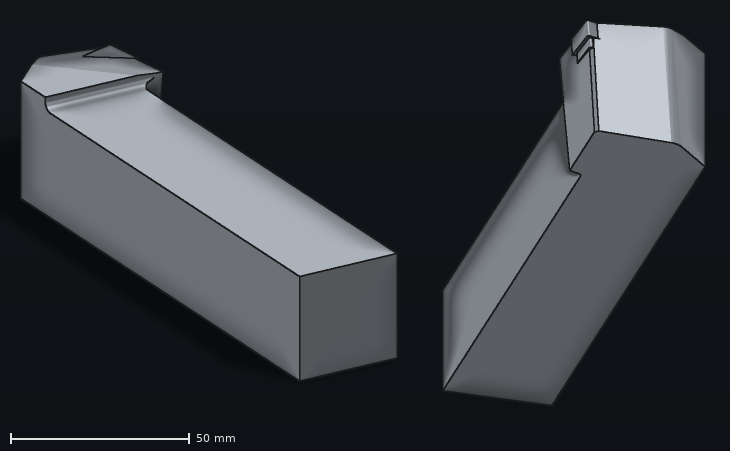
import cadquery as cq
import math

TOOL_LENGTH = 169.5
HEAD_HEIGHT = 36.0
TIP_Y = 40.0

SHANK_SIZE = 32.0

LEFT_WALL_X = 4.9
LEFT_WALL_Y = 33.9
LEFT_WALL_SKEW = math.tan(math.radians(3))
LEFT_TAPER = math.tan(math.radians(5.5))
BACK_WALL_Y = 36.0
BACK_TAPER = math.tan(math.radians(5))
HEEL_X = 17.5
HEEL_RADIUS = 5.0
CORNER_CHAMFER = 1.0

HEAD_END_X = 30.3
NECK_WALL_X = 31.2
NECK_RADIUS = 1.9
STEP_X = 30.8
STEP_RADIUS = 2.7

CREASE_X = 8.6
CREASE_Y = 8.6
CREASE_ANGLE = 44.0
RAKE_ANGLE = 8.0

INSERT_SIDE = 16.3
INSERT_THICKNESS = 4.7
INSERT_NOSE_RADIUS = 0.5

SEAT_INSET = 0.8
SEAT_THICKNESS = 2.9

CUT_SIZE = 2 * TOOL_LENGTH

crease = math.radians(CREASE_ANGLE)
rake = math.radians(RAKE_ANGLE)
rake_plane = cq.Plane(
    origin=(CREASE_X, CREASE_Y, HEAD_HEIGHT),
    xDir=(math.cos(crease), math.sin(crease), 0),
    normal=(-math.sin(crease) * math.sin(rake), math.cos(crease) * math.sin(rake), math.cos(rake)),
)


def outline(z):
    """Closed outline of the holder at height z."""
    back_y = BACK_WALL_Y + BACK_TAPER * z
    wall_x = LEFT_WALL_X - LEFT_TAPER * z
    left_back_x = wall_x + LEFT_WALL_SKEW * (LEFT_WALL_Y - back_y)
    heel_y = (HEEL_X - wall_x - LEFT_WALL_SKEW * LEFT_WALL_Y) / (1 - LEFT_WALL_SKEW)
    arc_drop = NECK_RADIUS * (1 - math.sqrt(0.5))
    return (
        cq.Workplane("XY", origin=(0, 0, z))
        .moveTo(HEEL_X, 0)
        .lineTo(TOOL_LENGTH, 0)
        .lineTo(TOOL_LENGTH, SHANK_SIZE)
        .lineTo(NECK_WALL_X + NECK_RADIUS, SHANK_SIZE)
        .threePointArc((NECK_WALL_X + arc_drop, SHANK_SIZE + arc_drop),
                       (NECK_WALL_X, SHANK_SIZE + NECK_RADIUS))
        .lineTo(HEAD_END_X, back_y)
        .lineTo(left_back_x, back_y)
        .lineTo(HEEL_X - heel_y, heel_y)
        .close()
        .val()
    )


def make_blank():
    """Tapered holder body with its heel rounded and its back corner chamfered."""
    body = cq.Workplane(cq.Solid.makeLoft([outline(0), outline(HEAD_HEIGHT)], True))
    upright = body.edges("not #Z").edges(cq.selectors.BoxSelector(
        (-1.7, 0, 0), (HEEL_X - HEEL_RADIUS, TIP_Y, HEAD_HEIGHT)))
    heel_edge = upright.edges("<Y")
    body = heel_edge.fillet(HEEL_RADIUS)
    corner = body.edges("not #Z").edges(cq.selectors.BoxSelector(
        (-1.7, LEFT_WALL_Y, 0), (HEEL_X, TIP_Y, HEAD_HEIGHT)))
    return corner.chamfer(CORNER_CHAMFER)


def step_cutter():
    """Material above the shank, with a round root against the head."""
    root = STEP_RADIUS * (1 - math.sqrt(0.5))
    return (
        cq.Workplane("XZ")
        .moveTo(STEP_X, HEAD_HEIGHT)
        .lineTo(STEP_X, SHANK_SIZE + STEP_RADIUS)
        .threePointArc((STEP_X + root, SHANK_SIZE + root), (STEP_X + STEP_RADIUS, SHANK_SIZE))
        .lineTo(TOOL_LENGTH, SHANK_SIZE)
        .lineTo(TOOL_LENGTH, HEAD_HEIGHT)
        .close()
        .extrude(-TIP_Y)
    )


def rake_cutter():
    """Everything above the rake plane."""
    return cq.Workplane(rake_plane).rect(CUT_SIZE, CUT_SIZE).extrude(TOOL_LENGTH)


def on_rake(x, y):
    """Point of the rake plane directly below or above (x, y)."""
    downhill = -(x - CREASE_X) * math.sin(crease) + (y - CREASE_Y) * math.cos(crease)
    return cq.Vector(x, y, HEAD_HEIGHT - downhill * math.tan(rake))


def outer_edge_direction():
    """Unit vector along the insert's outer edge, lying in the rake plane at constant Y."""
    return (on_rake(INSERT_SIDE, TIP_Y) - on_rake(0, TIP_Y)).normalized()


def triangle_prism(inset, depth, thickness):
    """Rounded triangle set in from the insert's sides, starting at a depth below the rake face."""
    nose_setback = INSERT_NOSE_RADIUS * (math.sqrt(3) - 1)
    side = INSERT_SIDE - 2 * math.sqrt(3) * inset
    edge = outer_edge_direction()
    inward = edge.cross(rake_plane.zDir)
    tip = on_rake(-nose_setback, TIP_Y)
    start = tip + edge * (math.sqrt(3) * inset) + inward * inset - rake_plane.zDir * depth
    far = start + edge * side
    apex = start + edge * (side / 2) + inward * (side * math.sqrt(3) / 2)
    base = cq.Plane(origin=start, xDir=edge, normal=rake_plane.zDir)
    corners = [base.toLocalCoords(point) for point in (start, far, apex)]
    return (
        cq.Workplane(base)
        .polyline([(corner.x, corner.y) for corner in corners])
        .close()
        .extrude(-thickness)
        .edges(cq.selectors.ParallelDirSelector(rake_plane.zDir))
        .fillet(INSERT_NOSE_RADIUS)
    )


def make_insert():
    """Insert flush with the rake face, slid along its outer edge until its foremost point is at X = 0."""
    body = triangle_prism(0, 0, INSERT_THICKNESS)
    edge = outer_edge_direction()
    return body.translate(edge * (-body.val().BoundingBox().xmin / edge.x))


def make_holder(insert_body):
    """Shank and head with the step, rake face, insert seat and insert pocket."""
    seat = triangle_prism(SEAT_INSET, INSERT_THICKNESS, SEAT_THICKNESS)
    body = make_blank().cut(step_cutter()).cut(rake_cutter())
    return body.union(seat).cut(insert_body).solids()


insert = make_insert()
holder = make_holder(insert)

result = cq.Compound.makeCompound([holder.val(), insert.val()])